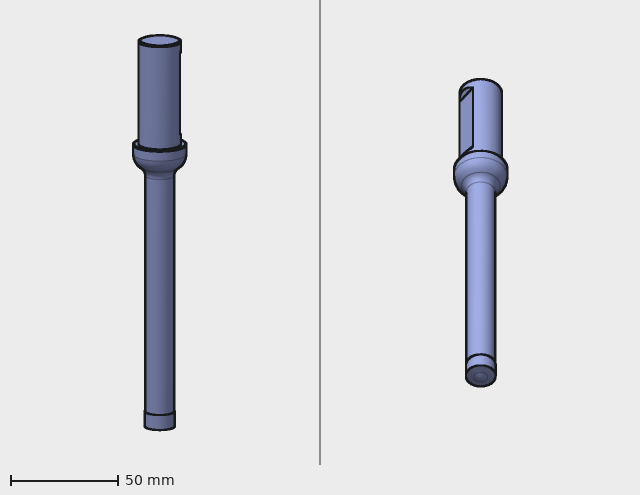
import cadquery as cq
import math

shank_diameter = 20.0
shank_length = 50.0
shank_chamfer_width = 1.0
shank_chamfer_height = shank_chamfer_width * math.tan(math.radians(30))

flat_height = 18.2
flat_y = flat_height - shank_diameter / 2
flat_depth = shank_diameter / 2 - flat_y
flat_end_offset = 5.6
flat_top_z = shank_length - flat_end_offset
flat_bottom_z = flat_end_offset

collar_diameter = 25.0
collar_chamfer = 0.5
collar_height = 5.0
stem_diameter = 13.67
shoulder_radius = 7.5
neck_radius = 5.0

head_diameter = 14.0
overall_length = 188.7
tip_z = shank_length - overall_length
head_length = 9.3
joint_z = tip_z + head_length
point_height = 2.0
pilot_diameter = 6.5
pilot_height = 1.1


def make_body():
    """Shank, collar and stem turned in one profile, then the clamping flat cut."""
    shank_radius = shank_diameter / 2
    collar_radius = collar_diameter / 2
    stem_radius = stem_diameter / 2

    shoulder_centre_r = collar_radius - shoulder_radius
    neck_centre_r = stem_radius + neck_radius
    radii_sum = shoulder_radius + neck_radius
    turn_angle = math.acos((neck_centre_r - shoulder_centre_r) / radii_sum)
    neck_centre_z = -collar_height - radii_sum * math.sin(turn_angle)

    shoulder_mid = (
        shoulder_centre_r + shoulder_radius * math.cos(turn_angle / 2),
        -collar_height - shoulder_radius * math.sin(turn_angle / 2),
    )
    shoulder_end = (
        shoulder_centre_r + shoulder_radius * math.cos(turn_angle),
        -collar_height - shoulder_radius * math.sin(turn_angle),
    )
    neck_mid = (
        neck_centre_r - neck_radius * math.cos(turn_angle / 2),
        neck_centre_z + neck_radius * math.sin(turn_angle / 2),
    )

    turned = (
        cq.Workplane("XZ")
        .moveTo(0, shank_length)
        .lineTo(shank_radius - shank_chamfer_width, shank_length)
        .lineTo(shank_radius, shank_length - shank_chamfer_height)
        .lineTo(shank_radius, 0)
        .lineTo(collar_radius - collar_chamfer, 0)
        .lineTo(collar_radius, -collar_chamfer)
        .lineTo(collar_radius, -collar_height)
        .threePointArc(shoulder_mid, shoulder_end)
        .threePointArc(neck_mid, (stem_radius, neck_centre_z))
        .lineTo(stem_radius, joint_z)
        .lineTo(0, joint_z)
        .close()
        .revolve(360, (0, 0), (0, 1))
    )
    flat_cutter = (
        cq.Workplane("YZ")
        .moveTo(flat_y, flat_bottom_z)
        .lineTo(flat_y, flat_top_z)
        .lineTo(flat_y + flat_depth, flat_top_z + flat_depth)
        .lineTo(flat_y + flat_depth, flat_bottom_z - flat_depth)
        .close()
        .extrude(shank_radius, both=True)
    )
    return turned.cut(flat_cutter)


def make_head():
    """Drill head: a short cylinder with a shallow point and a steeper centre."""
    return (
        cq.Workplane("XZ")
        .moveTo(0, joint_z)
        .lineTo(head_diameter / 2, joint_z)
        .lineTo(head_diameter / 2, tip_z + point_height)
        .lineTo(pilot_diameter / 2, tip_z + pilot_height)
        .lineTo(0, tip_z)
        .close()
        .revolve(360, (0, 0), (0, 1))
    )


body = make_body()
head = make_head()

result = cq.Compound.makeCompound([body.val(), head.val()])